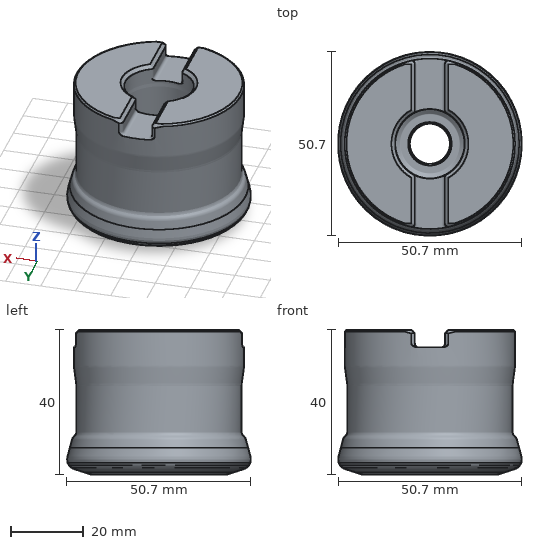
import cadquery as cq
import math

height = 40.0
rim_radius = 25.35

neck_radius = 22.85
collar_radius = 23.5
neck_bottom = 11.2
neck_top = 24.85
collar_bottom = 29.9
collar_chamfer = 0.5
collar_fillet = 4.3
neck_top_fillet = 5.05
neck_bottom_fillet = 1.2
shoulder_fillet = 1.5

nose_radius = 2.85
nose_height = 4.25
flank_angle = 15
underside_angle = 18
band_angle = 18
band_count = 4
shoulder_height = 10.1

ring_top = 7.4
ring_bottom = 0.75

slot_depth = 4.8
slot_half_width = 4.1
slot_end = 22.95
edge_chamfer = 1.0
corner_fillet = 1.05
floor_fillet = 0.95

entry_radius = 19.25 / 2
entry_depth = 5.6
bore_radius = 19.1 / 2
taper_depth = 6.6
seat_depth = 19.3
seat_cone_radius = 8.2
seat_cone_angle = 40
seat_fillet = 0.3
hole_radius = 11.0 / 2
hole_chamfer = 0.5

blank_half = 30.45

edge_margin = 0.005

floor_height = height - slot_depth


def nose_point(angle):
    """Point of the rim nose (radius, height) at an angle above the horizontal, in degrees."""
    turn = math.radians(angle)
    center_radius = rim_radius - nose_radius
    return center_radius + nose_radius * math.cos(turn), nose_height + nose_radius * math.sin(turn)


nose_points = [nose_point(-band_angle * step) for step in range(band_count, -1, -1)]
nose_points.append(nose_point(flank_angle))


def flank_radius(level):
    """Radius of the steep flank above the nose."""
    start_radius, start_height = nose_points[-1]
    return start_radius - (level - start_height) * math.tan(math.radians(flank_angle))


def underside_radius(level):
    """Radius of the shallow underside below the nose."""
    start_radius, start_height = nose_points[0]
    return start_radius - (start_height - level) / math.tan(math.radians(underside_angle))


def revolve(points):
    """Solid of revolution about Z from (radius, height) points."""
    return cq.Workplane("XZ").polyline(points).close().revolve(360, (0, 0, 0), (0, 1, 0))


def round_edge(solid, level, radius):
    """Fillet the largest circular edge at one height."""
    box = cq.selectors.BoxSelector(
        (-blank_half, -blank_half, level - edge_margin), (blank_half, blank_half, level + edge_margin)
    )
    return solid.edges(box).edges(cq.selectors.RadiusNthSelector(-1)).fillet(radius)


def make_outside():
    """Solid envelope of the holder and ring together."""
    profile = [
        (0, 0),
        (underside_radius(0), 0),
        *nose_points,
        (flank_radius(shoulder_height), shoulder_height),
        (neck_radius, neck_bottom),
        (neck_radius, neck_top),
        (collar_radius, collar_bottom),
        (collar_radius, height - collar_chamfer),
        (collar_radius - collar_chamfer, height),
        (0, height),
    ]
    outside = revolve(profile)
    outside = round_edge(outside, shoulder_height, shoulder_fillet)
    outside = round_edge(outside, neck_bottom, neck_bottom_fillet)
    outside = round_edge(outside, neck_top, neck_top_fillet)
    return round_edge(outside, collar_bottom, collar_fillet)


def make_pad(side):
    """Raised pad on one side of the slot, square outside and hollowed by the bore entry."""
    length = blank_half - slot_half_width
    pad = (
        cq.Workplane("XY", origin=(side * (slot_half_width + length / 2), 0, floor_height))
        .rect(length, 2 * slot_end)
        .extrude(slot_depth)
    )
    entry = cq.Workplane("XY", origin=(0, 0, floor_height)).circle(entry_radius).extrude(slot_depth)
    pad = pad.cut(entry)
    corners = cq.selectors.BoxSelector(
        (-2 * slot_half_width, -blank_half, 0), (2 * slot_half_width, blank_half, 2 * height)
    )
    pad = pad.edges("|Z").edges(corners).fillet(corner_fillet)
    return pad.faces(">Z").chamfer(edge_chamfer)


def make_slot_blank():
    """Oversized block with the two pads standing on the slot floor, filleted at their feet."""
    blank = cq.Workplane("XY").rect(2 * blank_half, 2 * blank_half).extrude(floor_height)
    for side in (-1, 1):
        blank = blank.union(make_pad(side))
    inset = blank_half - edge_margin
    feet = cq.selectors.BoxSelector(
        (-inset, -inset, floor_height - edge_margin), (inset, inset, floor_height + edge_margin)
    )
    return blank.edges(feet).fillet(floor_fillet)


def make_bore():
    """Stepped bore: entry, short taper, main bore, conical seat, chamfered through hole."""
    seat_top = height - seat_depth
    seat_drop = (bore_radius - seat_cone_radius) * math.tan(math.radians(seat_cone_angle))
    seat_floor = seat_top - seat_drop
    bore = revolve([
        (0, 0),
        (hole_radius, 0),
        (hole_radius, seat_floor - hole_chamfer),
        (hole_radius + hole_chamfer, seat_floor),
        (seat_cone_radius, seat_floor),
        (bore_radius, seat_top),
        (bore_radius, height - taper_depth),
        (entry_radius, height - entry_depth),
        (entry_radius, height),
        (0, height),
    ])
    return round_edge(bore, seat_floor, seat_fillet)


def make_rim_ring():
    """Rim ring: the nose of the rim, closed inside by a conical seat."""
    return revolve([
        (underside_radius(ring_bottom), ring_bottom),
        *nose_points,
        (flank_radius(ring_top), ring_top),
    ])


def make_holder(ring):
    """Holder: the slotted and bored body, recessed for the rim ring."""
    return make_outside().intersect(make_slot_blank()).cut(make_bore()).cut(ring)


rim_ring = make_rim_ring()
holder = make_holder(rim_ring)

result = cq.Compound.makeCompound([holder.val(), rim_ring.val()])